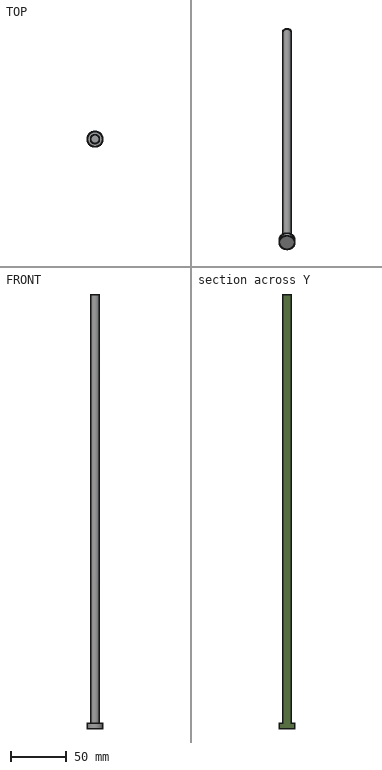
import cadquery as cq

total_length = 390.0
head_diameter = 14.0
head_height = 5.0
shaft_diameter = 8.0

shaft_length = total_length - head_height


def make_head():
    """Flat disc with its underside on Z = 0."""
    return cq.Workplane("XY").circle(head_diameter / 2).extrude(head_height)


def add_shaft(head):
    """Plain round shaft rising from the top of the head."""
    return head.faces(">Z").workplane().circle(shaft_diameter / 2).extrude(shaft_length)


result = add_shaft(make_head())